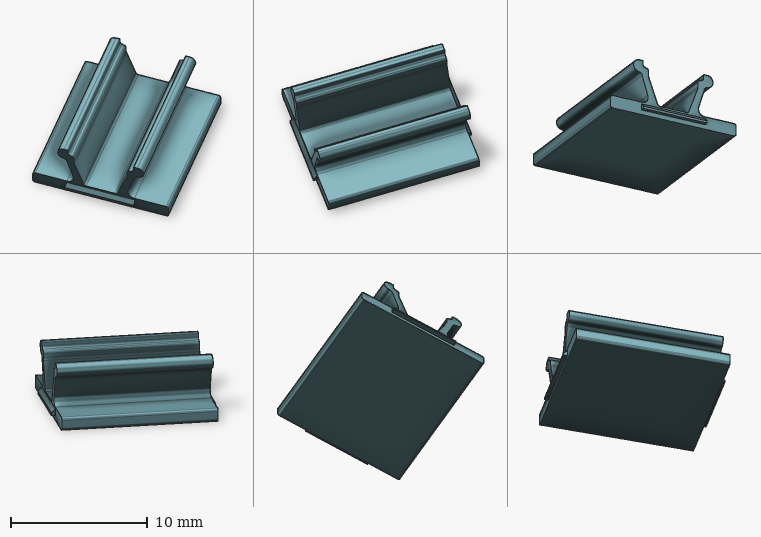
import cadquery as cq
import math

plate_width = 10.5
plate_thickness = 1.0
plate_corner_radius = 0.2
overall_length = 12.2

tab_width = 5.32
tab_depth = 0.29
tab_bottom = 0.38
tab_nose_top = 0.56
tab_top = tab_nose_top + tab_depth
body_length = overall_length - 2 * tab_depth

overall_height = 4.37
outer_foot_x = 1.93
outer_lean = math.radians(17.3)
inner_foot_x = 1.26
inner_lean = math.radians(20.3)
head_radius = 0.49
head_center_x = 2.83
head_center_z = overall_height - head_radius
lip_x = 2.53
lip_step_z = 3.9
shoulder_x = 2.06
shoulder_z = 3.77

outer_foot_radius = 0.5
inner_foot_radius = 0.2
neck_radius = 0.3
step_radius = 0.2
bend_radius = 0.5
lip_radius = 0.06


def make_plate():
    plate = cq.Workplane("XY").box(
        plate_width, body_length, plate_thickness, centered=(True, True, False)
    )
    return plate.edges("|Y").fillet(plate_corner_radius)


def neck_point():
    """Lower point where the straight outer arm face meets the head circle."""
    along_x = math.sin(outer_lean)
    along_z = math.cos(outer_lean)
    to_center_x = head_center_x - outer_foot_x
    to_center_z = head_center_z - plate_thickness
    nearest = to_center_x * along_x + to_center_z * along_z
    offset = to_center_x * along_z - to_center_z * along_x
    distance = nearest - math.sqrt(head_radius**2 - offset**2)
    return outer_foot_x + distance * along_x, plate_thickness + distance * along_z


def make_arm():
    """Arm on the +X side, rising from the plate top."""
    neck = neck_point()
    outer_foot = (outer_foot_x, plate_thickness)
    inner_foot = (inner_foot_x, plate_thickness)
    bend_z = plate_thickness + (shoulder_x - inner_foot_x) / math.tan(inner_lean)
    bend = (shoulder_x, bend_z)
    shoulder = (shoulder_x, shoulder_z)
    step = (lip_x, lip_step_z)
    lip = (lip_x, overall_height)
    arm = (
        cq.Workplane("XZ")
        .moveTo(*outer_foot)
        .lineTo(*neck)
        .threePointArc(
            (head_center_x + head_radius, head_center_z),
            (head_center_x, overall_height),
        )
        .lineTo(*lip)
        .lineTo(*step)
        .lineTo(*shoulder)
        .lineTo(*bend)
        .lineTo(*inner_foot)
        .close()
        .extrude(body_length / 2, both=True)
    )
    fillets = [
        (neck, neck_radius),
        (lip, lip_radius),
        (step, step_radius),
        (shoulder, step_radius),
        (bend, bend_radius),
    ]
    for point, radius in fillets:
        arm = fillet_long_edge(arm, point, radius)
    return arm


def fillet_long_edge(solid, point, radius):
    """Round the lengthwise edge passing through an (x, z) point."""
    nearest = cq.selectors.NearestToPointSelector((point[0], 0, point[1]))
    return solid.edges("|Y").edges(nearest).fillet(radius)


def make_tabs():
    """One bar through the plate whose two ends form the tabs."""
    body_end = body_length / 2
    tab_end = overall_length / 2
    return (
        cq.Workplane("YZ")
        .polyline([
            (-tab_end, tab_bottom),
            (tab_end, tab_bottom),
            (tab_end, tab_nose_top),
            (body_end, tab_top),
            (-body_end, tab_top),
            (-tab_end, tab_nose_top),
        ])
        .close()
        .extrude(tab_width / 2, both=True)
    )


right_arm = make_arm()
left_arm = right_arm.mirror("YZ")
result = make_plate().union(right_arm).union(left_arm)

for side in (-1, 1):
    result = fillet_long_edge(result, (side * outer_foot_x, plate_thickness), outer_foot_radius)
    result = fillet_long_edge(result, (side * inner_foot_x, plate_thickness), inner_foot_radius)

result = result.union(make_tabs())